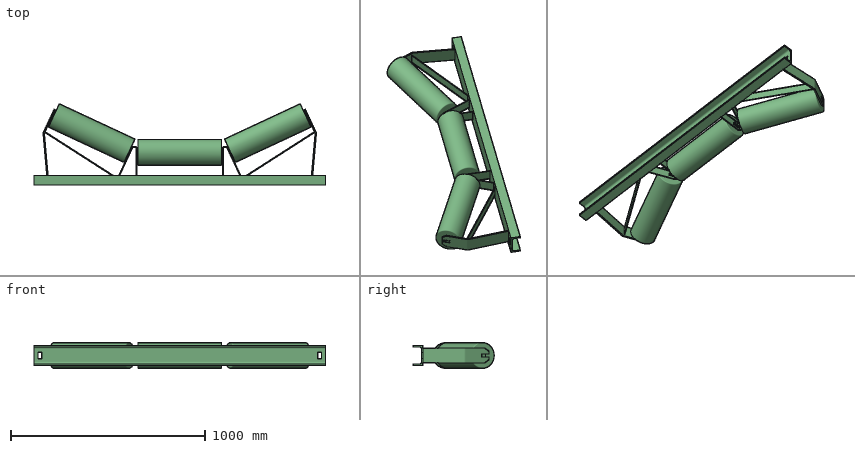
import cadquery as cq
import math


BEAM_LENGTH = 1500.0
BEAM_HEIGHT = 105.0
BEAM_DEPTH = 50.0
WEB_THICKNESS = 8.0
FLANGE_THICKNESS = 9.0
ROOT_RADIUS = 10.0
BOLT_SLOT_WIDTH = 18.0
BOLT_SLOT_HEIGHT = 32.0
BOLT_SLOT_EDGE = 30.0

ROLLER_DIAMETER = 134.0
ROLLER_LENGTH = 430.0
ROLLER_EDGE_RADIUS = 5.0
TROUGH_ANGLE = 25.0
MIDDLE_ROLLER_Y = 118.0
WING_ROLLER_X = 453.0
WING_ROLLER_Y = 218.0

SHAFT_RADIUS = 10.0
SHAFT_FLAT_WIDTH = 14.0

INNER_WIDTH = 55.0
OUTER_WIDTH = 75.0
MIDDLE_GAP = 5.0
WING_INNER_GAP = 3.0
INNER_PLATE = 5.0
INNER_TOP_Y = 148.0
INNER_BEND_RADIUS = 9.0
OUTER_PLATE = 8.0
OUTER_GAP = 5.0
OUTER_RISE = 30.0
OUTER_BEND_Y = 218.0
OUTER_LEG_ANGLE = 5.0
OUTER_BEND_RADIUS = 16.0
TIP_CHAMFER_WIDTH = 15.0
TIP_CHAMFER_LENGTH = 22.0

BRACE_WIDTH = 51.0
BRACE_THICKNESS = 5.0
BRACE_FOOT_X = 342.0
BRACE_HEAD_Y = 226.0

TILT_SIN = math.sin(math.radians(TROUGH_ANGLE))
TILT_COS = math.cos(math.radians(TROUGH_ANGLE))
TILT_TAN = TILT_SIN / TILT_COS
LEG_TAN = math.tan(math.radians(OUTER_LEG_ANGLE))


def centered_plate(points, width):
    """Closed XY outline extruded symmetrically about Z = 0."""
    return cq.Workplane("XY").polyline(points).close().extrude(width).translate((0, 0, -width / 2))


def on_wing(shape):
    """Move a shape from the wing roller's own frame (axis along X) onto the +X wing."""
    turned = shape.rotate((0, 0, 0), (0, 0, 1), TROUGH_ANGLE)
    return turned.translate((WING_ROLLER_X, WING_ROLLER_Y, 0))


def wing_point(along, across):
    """XY place of a point given along and across the +X wing roller's axis."""
    return (
        WING_ROLLER_X + along * TILT_COS - across * TILT_SIN,
        WING_ROLLER_Y + along * TILT_SIN + across * TILT_COS,
    )


def make_beam():
    """Channel with its web towards +Y and a bolt slot near each end."""
    inner_height = BEAM_HEIGHT - 2 * FLANGE_THICKNESS
    beam = cq.Workplane("XY").box(BEAM_LENGTH, BEAM_DEPTH, BEAM_HEIGHT)
    beam = beam.translate((0, -BEAM_DEPTH / 2, 0))
    channel = (
        cq.Workplane("XY")
        .box(BEAM_LENGTH, BEAM_DEPTH, inner_height)
        .edges("|X and >Y")
        .fillet(ROOT_RADIUS)
        .translate((0, -BEAM_DEPTH / 2 - WEB_THICKNESS, 0))
    )
    slot_x = BEAM_LENGTH / 2 - BOLT_SLOT_EDGE
    slots = (
        cq.Workplane("XZ")
        .pushPoints([(-slot_x, 0), (slot_x, 0)])
        .rect(BOLT_SLOT_WIDTH, BOLT_SLOT_HEIGHT)
        .extrude(BEAM_DEPTH)
    )
    return beam.cut(channel).cut(slots)


def make_roller(left_reach, right_reach):
    """Roller along X centred on the origin, its shaft reaching past each end."""
    shell = (
        cq.Workplane("YZ")
        .workplane(offset=-ROLLER_LENGTH / 2)
        .circle(ROLLER_DIAMETER / 2)
        .extrude(ROLLER_LENGTH)
        .edges("%CIRCLE")
        .fillet(ROLLER_EDGE_RADIUS)
    )
    shaft_length = ROLLER_LENGTH + left_reach + right_reach
    shaft_start = -ROLLER_LENGTH / 2 - left_reach
    shaft = cq.Workplane("YZ").workplane(offset=shaft_start).circle(SHAFT_RADIUS).extrude(shaft_length)
    flats = cq.Workplane("XY").box(2 * shaft_length, 2 * SHAFT_RADIUS, SHAFT_FLAT_WIDTH)
    return shell.union(shaft.intersect(flats))


def make_shaft_slot(length):
    """Slot cutter along X: flat-sided, closed below the shaft and open above it."""
    height = ROLLER_DIAMETER
    slot = cq.Workplane("XY").box(length, height, SHAFT_FLAT_WIDTH)
    return slot.translate((0, height / 2 - SHAFT_RADIUS, 0))


def make_inner_bracket():
    """Bent strip between the middle roller and the +X wing roller."""
    upright_x = ROLLER_LENGTH / 2 + MIDDLE_GAP
    top_x, top_y = wing_point(-ROLLER_LENGTH / 2 - WING_INNER_GAP, 0)
    lean_x = top_x + top_y * TILT_TAN
    lean_top_x = lean_x - INNER_TOP_Y * TILT_TAN
    lean_plate = INNER_PLATE / TILT_COS
    under_y = INNER_TOP_Y - INNER_PLATE
    outline = [
        (upright_x, 0),
        (upright_x, INNER_TOP_Y),
        (lean_top_x, INNER_TOP_Y),
        (lean_x, 0),
        (lean_x - lean_plate, 0),
        (lean_x - lean_plate - under_y * TILT_TAN, under_y),
        (upright_x + INNER_PLATE, under_y),
        (upright_x + INNER_PLATE, 0),
    ]
    strip = centered_plate(outline, INNER_WIDTH)
    strip = strip.edges("|Z and >Y").fillet(INNER_BEND_RADIUS)
    slot_length = 2 * (MIDDLE_GAP + INNER_PLATE)
    middle_slot = make_shaft_slot(slot_length).translate((ROLLER_LENGTH / 2, MIDDLE_ROLLER_Y, 0))
    wing_slot = on_wing(make_shaft_slot(slot_length).translate((-ROLLER_LENGTH / 2, 0, 0)))
    return strip.cut(middle_slot).cut(wing_slot)


def tilted_point(along, height):
    """Point at the given Y on the plane square to the wing roller's axis."""
    x, y = wing_point(along, 0)
    return x + (y - height) * TILT_TAN, height


def round_bend(strip, x, y, radius):
    """Round the strip's edge along Z at the given corner of its outline."""
    corner = cq.selectors.NearestToPointSelector((x, y, 0))
    return strip.edges("|Z").edges(corner).fillet(radius)


def make_tip_corner():
    """Cutter for the upper tip corner, in the wing roller's own frame."""
    half = OUTER_WIDTH / 2
    outline = [
        (OUTER_RISE, half),
        (OUTER_RISE, half - TIP_CHAMFER_WIDTH),
        (OUTER_RISE - TIP_CHAMFER_LENGTH, half),
    ]
    return cq.Workplane("YZ").polyline(outline).close().extrude(ROLLER_LENGTH)


def make_outer_bracket():
    """Strip with a chamfered tip that rises from the beam to the wing roller's outer end."""
    inner_along = ROLLER_LENGTH / 2 + OUTER_GAP
    outer_along = inner_along + OUTER_PLATE
    bend_x, bend_y = tilted_point(outer_along, OUTER_BEND_Y)
    foot_x = bend_x - bend_y * LEG_TAN
    bisector = math.radians((TROUGH_ANGLE - OUTER_LEG_ANGLE) / 2)
    half_bend = math.radians((TROUGH_ANGLE + OUTER_LEG_ANGLE) / 2)
    miter = OUTER_PLATE / math.cos(half_bend)
    inner_bend = (bend_x - miter * math.cos(bisector), bend_y - miter * math.sin(bisector))
    leg_plate = OUTER_PLATE / math.cos(math.radians(OUTER_LEG_ANGLE))
    outline = [
        (foot_x, 0),
        (bend_x, bend_y),
        wing_point(outer_along, OUTER_RISE),
        wing_point(inner_along, OUTER_RISE),
        inner_bend,
        (foot_x - leg_plate, 0),
    ]
    strip = centered_plate(outline, OUTER_WIDTH)
    strip = round_bend(strip, bend_x, bend_y, OUTER_BEND_RADIUS)
    strip = round_bend(strip, *inner_bend, OUTER_BEND_RADIUS - OUTER_PLATE)
    corner = make_tip_corner()
    slot = make_shaft_slot(2 * (OUTER_GAP + OUTER_PLATE)).translate((ROLLER_LENGTH / 2, 0, 0))
    return strip.cut(on_wing(corner)).cut(on_wing(corner.mirror("XY"))).cut(on_wing(slot))


def make_brace(bracket):
    """Flat bar from the beam up to the inside of the outer bracket's bend."""
    plate_middle = ROLLER_LENGTH / 2 + OUTER_GAP + OUTER_PLATE / 2
    head_x, head_y = tilted_point(plate_middle, BRACE_HEAD_Y)
    slope = math.atan2(head_y, head_x - BRACE_FOOT_X)
    rise = BRACE_THICKNESS / math.cos(slope)
    run = BRACE_THICKNESS / math.sin(slope)
    outline = [
        (BRACE_FOOT_X, 0),
        (head_x, head_y),
        (head_x, head_y - rise),
        (BRACE_FOOT_X + run, 0),
    ]
    return centered_plate(outline, BRACE_WIDTH).cut(bracket)


def both_sides(body):
    """The +X body and its mirror image on the -X side."""
    return [body.val(), body.mirror("YZ").val()]


beam = make_beam()
middle_reach = MIDDLE_GAP + INNER_PLATE
middle_roller = make_roller(middle_reach, middle_reach).translate((0, MIDDLE_ROLLER_Y, 0))
wing_rollers = both_sides(on_wing(make_roller(WING_INNER_GAP + INNER_PLATE, OUTER_GAP + OUTER_PLATE)))
inner_brackets = both_sides(make_inner_bracket())
outer_bracket = make_outer_bracket()
outer_brackets = both_sides(outer_bracket)
braces = both_sides(make_brace(outer_bracket))

result = cq.Compound.makeCompound([
    beam.val(),
    middle_roller.val(),
    *wing_rollers,
    *inner_brackets,
    *outer_brackets,
    *braces,
])